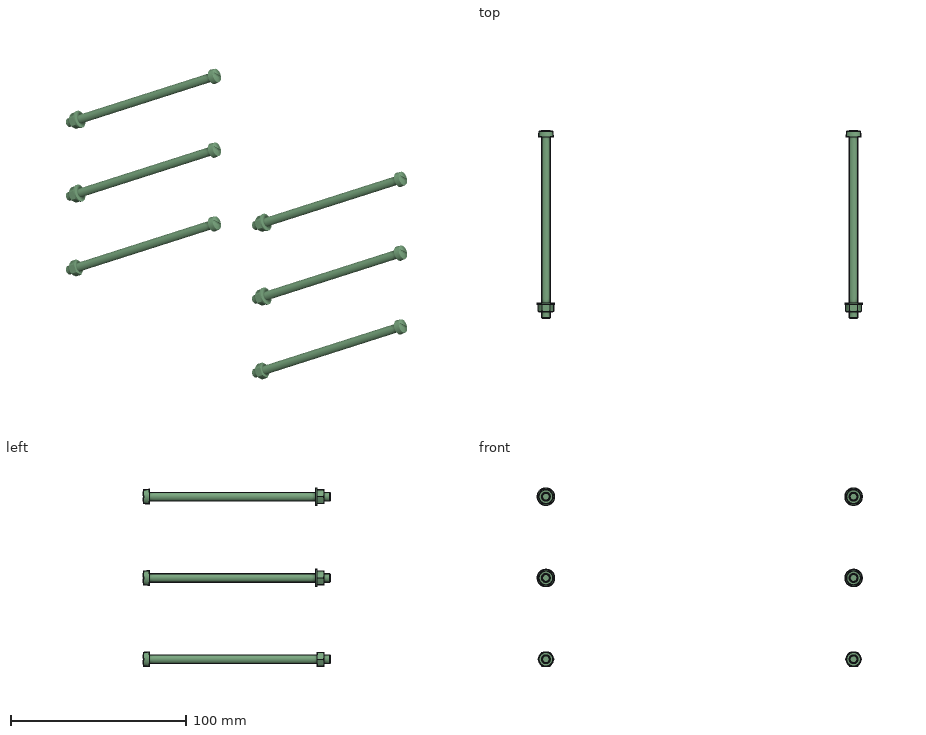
import cadquery as cq
import math

column_spacing = 175.7
row_pitch = 46.5
row_count = 3

bolt_length = 107.4
shank_diameter = 5.0
tip_chamfer = 0.5

head_side_height = 3.2
crown_height = 0.5
head_base_diameter = 8.5
head_rim_diameter = 8.0
slot_width = 1.3

tip_projection = 3.7
nut_sides = 6
nut_height = 4.0
nut_across_flats = 8.0
nut_face_diameter = 7.8
nut_chamfer_angle = 30
washer_thickness = 1.0
washer_diameter = 10.0

head_rim_y = bolt_length - crown_height
head_bearing_y = head_rim_y - head_side_height
nut_far_y = tip_projection + nut_height
nut_across_corners = nut_across_flats / math.cos(math.pi / nut_sides)
nut_chamfer_width = (nut_across_corners - nut_face_diameter) / 2
nut_chamfer_height = nut_chamfer_width * math.tan(math.radians(nut_chamfer_angle))


def cylinder_along_y(diameter, start_y, length):
    """Round bar on the Y axis, growing toward +Y from start_y."""
    return (
        cq.Workplane("XZ", origin=(0, start_y, 0))
        .circle(diameter / 2)
        .extrude(-length)
    )


def make_shank():
    """Plain shank with a chamfered tip at Y = 0."""
    return cylinder_along_y(shank_diameter, 0, head_bearing_y).faces("<Y").chamfer(tip_chamfer)


def make_head():
    """Tapered round head with a domed crown, slotted along X to the depth of the crown."""
    rim_radius = head_rim_diameter / 2
    sphere_radius = (rim_radius**2 + crown_height**2) / (2 * crown_height)
    mid_drop = crown_height / 2
    mid_radius = math.sqrt(2 * sphere_radius * mid_drop - mid_drop**2)
    domed_cone = (
        cq.Workplane("XY")
        .moveTo(0, head_bearing_y)
        .lineTo(head_base_diameter / 2, head_bearing_y)
        .lineTo(rim_radius, head_rim_y)
        .threePointArc((mid_radius, bolt_length - mid_drop), (0, bolt_length))
        .close()
        .revolve(360, (0, 0, 0), (0, 1, 0))
    )
    slot = (
        cq.Workplane("XY", origin=(0, head_rim_y, 0))
        .box(head_base_diameter, crown_height, slot_width, centered=(True, False, True))
    )
    return domed_cone.cut(slot)


def make_nut():
    """Hexagon with flats facing +Z and -Z and its corners chamfered on the -Y face."""
    hexagon = (
        cq.Workplane("XZ", origin=(0, tip_projection, 0))
        .polygon(nut_sides, nut_across_corners)
        .extrude(-nut_height)
    )
    chamfer_envelope = (
        cq.Workplane("XY")
        .moveTo(0, tip_projection)
        .lineTo(nut_face_diameter / 2, tip_projection)
        .lineTo(nut_across_corners / 2, tip_projection + nut_chamfer_height)
        .lineTo(nut_across_corners / 2, nut_far_y)
        .lineTo(0, nut_far_y)
        .close()
        .revolve(360, (0, 0, 0), (0, 1, 0))
    )
    return hexagon.intersect(chamfer_envelope)


def make_washer():
    """Flat disc against the +Y face of the nut."""
    return cylinder_along_y(washer_diameter, nut_far_y, washer_thickness)


plain_fastener = make_shank().union(make_head()).union(make_nut())
washer_fastener = plain_fastener.union(make_washer())

fasteners = []
for column_x in (-column_spacing / 2, column_spacing / 2):
    for row in range(row_count):
        fastener = plain_fastener if row == 0 else washer_fastener
        fasteners.append(fastener.translate((column_x, 0, row * row_pitch)).val())

result = cq.Compound.makeCompound(fasteners)